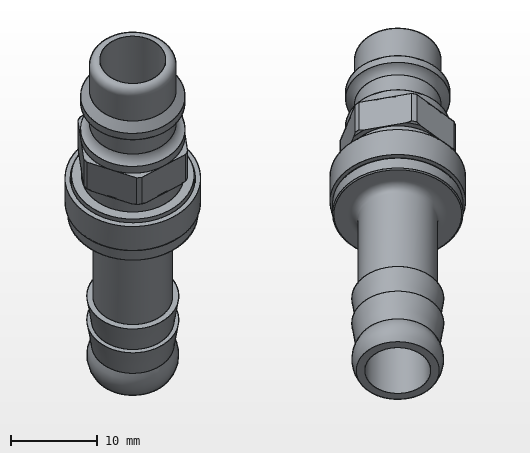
import cadquery as cq

LENGTH = 50.5
BORE_DIAMETER = 7.6

TUBE_DIAMETER = 9.2
BARB_DIAMETER = 10.6
BARB_ROOT_DIAMETER = 9.55
TIP_LENGTH = 3.65
BARB_LENGTH = 3.95
BARB_COUNT = 2

FLANGE_DIAMETER = 15.0
FLANGE_BOTTOM = 25.0
FLANGE_TOP = 27.0
FLANGE_CHAMFER = 0.15
FLANGE_BEVEL = 0.25
FLARE_RADIUS = 1.05

RING_DIAMETER = 15.6
RING_BORE_DIAMETER = 14.4
RING_HEIGHT = 4.0
HUB_DIAMETER = 14.1
HUB_TOP = 31.45

NECK_DIAMETER = 11.8
HEX_BOTTOM = 33.45
HEX_HEIGHT = 4.55
HEX_ACROSS_FLATS = 12.0
HEX_CORNER_DIAMETER = 13.55
HEX_CHAMFER_HEIGHT = 0.15
HEX_CHAMFER_WIDTH = 0.25

PLUG_DIAMETER = 10.0
COLLAR_DIAMETER = 12.0
COLLAR_BEVEL = (COLLAR_DIAMETER - PLUG_DIAMETER) / 2
COLLAR_LAND = 1.05
COLLAR_HOLLOW_RADIUS = 1.75
LOWER_COLLAR_TOP = 40.1
UPPER_COLLAR_TOP = 45.55
NOSE_RADIUS = 0.95


def cylinder(diameter, bottom, top):
    return cq.Workplane("XY").workplane(offset=bottom).circle(diameter / 2).extrude(top - bottom)


def make_outer_profile():
    """Revolved outside of the fitting, drawn from the hose end up to the nose."""
    tube = TUBE_DIAMETER / 2
    barb = BARB_DIAMETER / 2
    root = BARB_ROOT_DIAMETER / 2
    flange = FLANGE_DIAMETER / 2
    hub = HUB_DIAMETER / 2
    neck = NECK_DIAMETER / 2
    plug = PLUG_DIAMETER / 2
    collar = COLLAR_DIAMETER / 2
    upper_land_top = UPPER_COLLAR_TOP - COLLAR_BEVEL
    upper_land_bottom = upper_land_top - COLLAR_LAND

    profile = cq.Workplane("XZ").lineTo(root, 0)
    profile = profile.threePointArc((barb, TIP_LENGTH / 2), (root, TIP_LENGTH))

    for index in range(BARB_COUNT):
        barb_top = TIP_LENGTH + (index + 1) * BARB_LENGTH
        shoulder = tube if index == BARB_COUNT - 1 else root
        profile = profile.lineTo(barb, barb_top).lineTo(shoulder, barb_top)

    profile = (
        profile.lineTo(tube, FLANGE_BOTTOM - FLARE_RADIUS)
        .radiusArc((tube + FLARE_RADIUS, FLANGE_BOTTOM), FLARE_RADIUS)
        .lineTo(flange - FLANGE_CHAMFER, FLANGE_BOTTOM)
        .lineTo(flange, FLANGE_BOTTOM + FLANGE_CHAMFER)
        .lineTo(flange, FLANGE_TOP - FLANGE_BEVEL)
        .lineTo(flange - FLANGE_BEVEL, FLANGE_TOP)
        .lineTo(hub, FLANGE_TOP)
    )

    profile = (
        profile.lineTo(hub, HUB_TOP)
        .lineTo(neck, HUB_TOP)
        .lineTo(neck, HEX_BOTTOM + HEX_HEIGHT)
        .lineTo(collar, HEX_BOTTOM + HEX_HEIGHT)
        .lineTo(collar, LOWER_COLLAR_TOP - COLLAR_BEVEL)
        .radiusArc((plug, LOWER_COLLAR_TOP), COLLAR_HOLLOW_RADIUS)
    )

    profile = (
        profile.lineTo(plug, upper_land_bottom - COLLAR_BEVEL)
        .radiusArc((collar, upper_land_bottom), COLLAR_HOLLOW_RADIUS)
        .lineTo(collar, upper_land_top)
        .lineTo(plug, UPPER_COLLAR_TOP)
        .lineTo(plug, LENGTH - NOSE_RADIUS)
        .radiusArc((plug - NOSE_RADIUS, LENGTH), -NOSE_RADIUS)
        .lineTo(0, LENGTH)
        .close()
    )
    return profile.revolve(360, (0, 0, 0), (0, 1, 0))


def make_hexagon():
    """Hexagon with flats facing +X and -X, its corners turned round and chamfered below."""
    hexagon = (
        cq.Workplane("XY")
        .workplane(offset=HEX_BOTTOM)
        .polygon(6, HEX_ACROSS_FLATS, circumscribed=True)
        .extrude(HEX_HEIGHT)
    )
    turned = cylinder(HEX_CORNER_DIAMETER, HEX_BOTTOM, HEX_BOTTOM + HEX_HEIGHT)
    turned = turned.faces("<Z").chamfer(HEX_CHAMFER_HEIGHT, HEX_CHAMFER_WIDTH)
    return hexagon.intersect(turned)


def make_fitting():
    fitting = make_outer_profile().union(make_hexagon())
    return fitting.cut(cylinder(BORE_DIAMETER, 0, LENGTH))


def make_ring():
    """Ring around the hub with a slight clearance, resting on the flange."""
    ring_top = FLANGE_TOP + RING_HEIGHT
    ring = cylinder(RING_DIAMETER, FLANGE_TOP, ring_top)
    return ring.cut(cylinder(RING_BORE_DIAMETER, FLANGE_TOP, ring_top))


fitting = make_fitting()
ring = make_ring()
result = cq.Compound.makeCompound([fitting.val(), ring.val()])